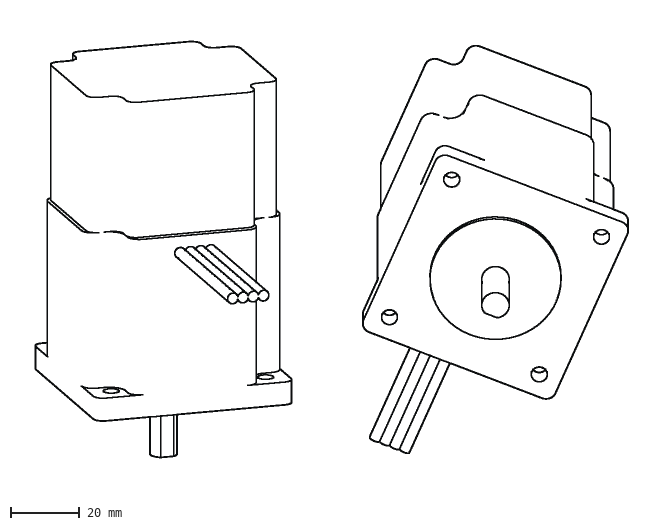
import cadquery as cq

total_height = 115.6
flange_side = 60.5
lead_overhang = 50.0

shaft_flat_top_z = 15.1
pilot_bottom_z = 19.2
flange_bottom_z = 20.7
flange_top_z = 27.6
body_step_z = 74.7

flange_corner_radius = 3.0
hole_offset = 23.6
hole_diameter = 4.6

notch_offset = 19.5
lower_outer_radius = 3.5
lower_inner_radius = 4.9
upper_width_x = 56.0
upper_width_y = 58.0
upper_radius = 3.0

pilot_diameter = 38.1
shaft_diameter = 8.0
shaft_flat_x = 3.5

lead_count = 4
lead_diameter = 3.2
lead_pitch = 3.1
lead_z = 69.6
lead_embed = 2.3


def cylinder(diameter, bottom_z, top_z):
    """Vertical cylinder on the motor axis."""
    return cq.Workplane("XY").workplane(offset=bottom_z).circle(diameter / 2).extrude(top_z - bottom_z)


def notched_body(width_x, width_y, bottom_z, top_z, outer_radius, inner_radius):
    """Rectangular prism with a rounded notch along each vertical corner."""
    height = top_z - bottom_z
    plane = cq.Workplane("XY").workplane(offset=bottom_z)
    inner_side = 2 * notch_offset
    cross = plane.rect(width_x, inner_side).extrude(height)
    cross = cross.union(plane.rect(inner_side, width_y).extrude(height))
    margin = 1.2
    inner_edges = cq.selectors.BoxSelector(
        (-notch_offset - margin, -notch_offset - margin, bottom_z - margin),
        (notch_offset + margin, notch_offset + margin, top_z + margin),
    )
    cross = cross.edges("|Z").edges(inner_edges).fillet(inner_radius)
    return cross.faces("<X or >X or <Y or >Y").edges("|Z").fillet(outer_radius)


def mounting_flange():
    """Square plate with rounded corners and four through holes."""
    plate = (
        cq.Workplane("XY")
        .workplane(offset=flange_bottom_z)
        .rect(flange_side, flange_side)
        .extrude(flange_top_z - flange_bottom_z)
        .edges("|Z")
        .fillet(flange_corner_radius)
    )
    hole_spacing = 2 * hole_offset
    hole_plane = plate.faces(">Z").workplane()
    hole_centers = hole_plane.rect(hole_spacing, hole_spacing, forConstruction=True).vertices()
    return hole_centers.hole(hole_diameter)


def output_shaft():
    """Round shaft with a flat on its +X side near the free end."""
    flat_cutter = cq.Workplane("XY").box(
        shaft_diameter, shaft_diameter, shaft_flat_top_z, centered=(False, True, False)
    )
    shaft = cylinder(shaft_diameter, 0, pilot_bottom_z)
    shaft = shaft.rotate((0, 0, 0), (0, 0, 1), 180)
    return shaft.cut(flat_cutter.translate((shaft_flat_x, 0, 0)))


def lead_bundle():
    """Row of round wires leaving the +X face of the lower body."""
    row_start_y = -lead_pitch * (lead_count - 1) / 2
    bundle = cq.Workplane("XY")
    for index in range(lead_count):
        lead = (
            cq.Workplane("YZ")
            .workplane(offset=flange_side / 2 - lead_embed)
            .center(row_start_y + index * lead_pitch, lead_z)
            .circle(lead_diameter / 2)
            .extrude(lead_overhang + lead_embed)
        )
        bundle = bundle.add(lead)
    return bundle.combine()


lower_body = notched_body(
    flange_side, flange_side, flange_top_z, body_step_z, lower_outer_radius, lower_inner_radius
)
upper_body = notched_body(
    upper_width_x, upper_width_y, body_step_z, total_height, upper_radius, upper_radius
)

result = (
    mounting_flange()
    .union(lower_body)
    .union(upper_body)
    .union(cylinder(pilot_diameter, pilot_bottom_z, flange_bottom_z))
    .union(output_shaft())
    .union(lead_bundle())
)